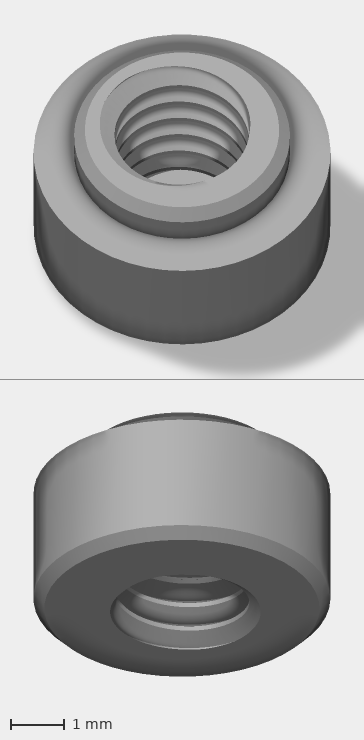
import cadquery as cq
import math

body_diameter = 5.5
body_radius = body_diameter / 2
body_height = 2.45
collar_diameter = 4.0
collar_radius = collar_diameter / 2
total_height = 3.15
edge_chamfer = 0.2

pitch = 0.5
minor_diameter = 2.5
minor_radius = minor_diameter / 2
crest_width = 0.09
thread_depth = 0.325
flank_angle = 30.0
groove_angle_at_top = 196.5

thread_overrun_turns = 2
bore_overlap = 0.04


def make_blank():
    """Turned outside of the nut, still solid in the middle."""
    half_section = (
        cq.Workplane("YZ")
        .lineTo(body_radius - edge_chamfer, 0)
        .lineTo(body_radius, edge_chamfer)
        .lineTo(body_radius, body_height)
        .lineTo(collar_radius, body_height)
        .lineTo(collar_radius, total_height - edge_chamfer)
        .lineTo(collar_radius - edge_chamfer, total_height)
        .lineTo(0, total_height)
        .close()
    )
    return half_section.revolve(360, (0, 0), (0, 1))


def make_bore():
    """Plain through bore at the thread's minor diameter."""
    half_section = cq.Workplane("YZ").rect(minor_radius, total_height, centered=False)
    return half_section.revolve(360, (0, 0), (0, 1))


def make_thread_groove():
    """Helical cutter with a trapezoid section, placed so that it runs through both end faces."""
    flank_slope = math.tan(math.radians(flank_angle))
    inner_radius = minor_radius - bore_overlap
    outer_radius = minor_radius + thread_depth
    mouth_half_width = (pitch - crest_width) / 2
    inner_half_width = mouth_half_width + bore_overlap * flank_slope
    outer_half_width = mouth_half_width - thread_depth * flank_slope

    turns = math.ceil(total_height / pitch) + 2 * thread_overrun_turns
    helix = cq.Wire.makeHelix(pitch, turns * pitch, minor_radius)
    section = (
        cq.Workplane("XZ")
        .moveTo(inner_radius, -inner_half_width)
        .lineTo(outer_radius, -outer_half_width)
        .lineTo(outer_radius, outer_half_width)
        .lineTo(inner_radius, inner_half_width)
        .close()
    )
    groove = section.sweep(cq.Workplane(helix), isFrenet=True)

    start_height = total_height - (turns - thread_overrun_turns) * pitch
    return groove.rotate((0, 0, 0), (0, 0, 1), groove_angle_at_top).translate((0, 0, start_height))


nut = make_blank().cut(make_thread_groove()).cut(make_bore())
result = nut.solids()